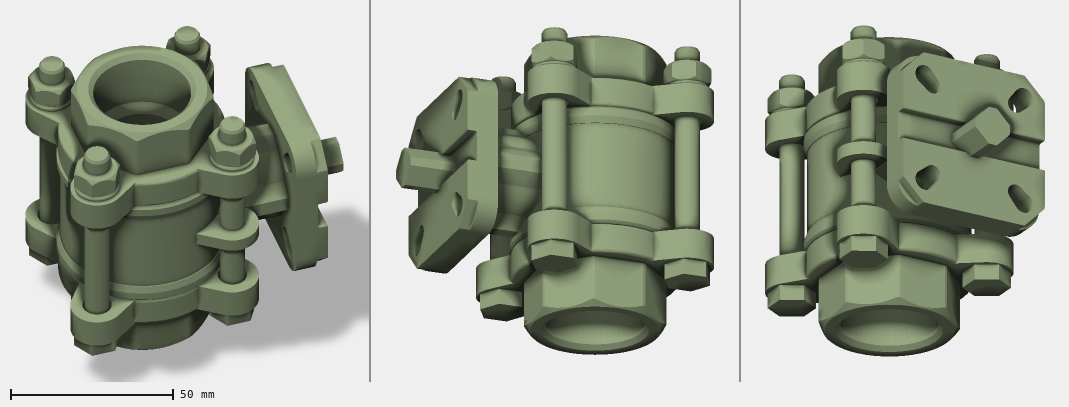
import cadquery as cq
import math

half_length = 45.0
cutter_overrun = 0.5

bore_d = 25.0
thread_d = 30.29
thread_mouth_d = 33.25
thread_depth = 18.75

octagon_flats = 41.0
octagon_round_r = 22.0
octagon_chamfer = 1.9

flange_inner_z = 19.4
flange_outer_z = 29.0
flange_r = 26.0
flange_round = 1.0
bolt_offset = 22.0
lug_r = 8.25
lug_hole_d = 9.0
lug_flare = math.radians(9.0)
lug_root_u = 16.0

barrel_r = 25.35
collar_r = 26.5
collar_edge = 0.9
collar_rim_z = 16.0
collar_root_z = 13.9
collar_root_r = 25.65
stop_tab_thickness = 4.2

rod_d = 7.75
stud_d = 8.0
stud_top_z = 43.1
stud_chamfer_z = 0.95
stud_chamfer_r = 0.55
bolt_flats = 13.0
bolt_head_height = 5.0
washer_d = 14.0
washer_thickness = 1.8
nut_height = 6.7
nut_face_r = 6.35

plate_inner_y = 41.84
plate_outer_y = 52.0
plate_half = 25.25
plate_corner_r = 8.3
corner_cut_depth = 3.5
corner_cut_reach = 18.0
neck_half = 16.9
neck_diamond_sum = 19.3
neck_r = 14.5
slot_inner_u = 21.0
slot_outer_u = 25.0
slot_inner_r = 5.5 / 2
slot_outer_r = 6.5 / 2
groove_width = 9.8
groove_depth = 3.2
groove_round = 0.5
stem_tip_y = 63.5
stem_half = 6.18
stem_diamond_sum = 7.6


def cylinder_z(radius, z0, z1):
    return cq.Workplane("XY").workplane(offset=z0).circle(radius).extrude(z1 - z0)


def prism_y(outline, y0, y1):
    """Extrude a closed (x, z) outline from y0 to y1."""
    return cq.Workplane("XZ").workplane(offset=-y0).polyline(outline).close().extrude(y0 - y1)


def revolve_z(profile):
    """Revolve a closed (r, z) profile about the Z axis."""
    return cq.Workplane("XZ").polyline(profile).close().revolve(360, (0, 0), (0, 1))


def chamfered_cylinder(radius, z0, z1, bottom, top):
    """Cylinder with 45 degree end chamfers; a size of zero leaves that end square."""
    body = cylinder_z(radius, z0, z1)
    if bottom:
        body = body.faces("<Z").chamfer(bottom)
    if top:
        body = body.faces(">Z").chamfer(top)
    return body


def lug(angle, z0, z1):
    """Round-ended lug that widens toward the valve axis."""
    centre_u = bolt_offset * math.sqrt(2)
    tangent_u = centre_u + lug_r * math.sin(lug_flare)
    tangent_v = lug_r * math.cos(lug_flare)
    root_v = tangent_v + (tangent_u - lug_root_u) * math.tan(lug_flare)
    outline = (
        cq.Workplane("XY").workplane(offset=z0)
        .moveTo(lug_root_u, -root_v)
        .lineTo(tangent_u, -tangent_v)
        .threePointArc((centre_u + lug_r, 0), (tangent_u, tangent_v))
        .lineTo(lug_root_u, root_v)
        .close()
    )
    return outline.extrude(z1 - z0).rotate((0, 0, 0), (0, 0, 1), angle)


def upper_end():
    """Flange, lugs and octagonal pipe end on the +Z side."""
    end = cylinder_z(flange_r, flange_inner_z, flange_outer_z).edges().fillet(flange_round)
    for angle in (45, 135, 225, 315):
        end = end.union(lug(angle, flange_inner_z, flange_outer_z))
    octagon_d = octagon_flats / math.cos(math.pi / 8)
    octagon = (
        cq.Workplane("XY").workplane(offset=flange_inner_z)
        .polygon(8, octagon_d).extrude(half_length - flange_inner_z)
        .rotate((0, 0, 0), (0, 0, 1), 22.5)
    )
    trim = chamfered_cylinder(octagon_round_r, flange_inner_z, half_length, 0, octagon_chamfer)
    holes = (
        cq.Workplane("XY").workplane(offset=flange_inner_z)
        .rect(2 * bolt_offset, 2 * bolt_offset, forConstruction=True).vertices()
        .circle(lug_hole_d / 2).extrude(flange_outer_z - flange_inner_z)
    )
    return end.union(octagon.intersect(trim)).cut(holes)


def centre_body():
    """Barrel with a tapered collar at each end, plus the stop tab around one rod."""
    half_profile = [
        (collar_r - collar_edge, flange_inner_z),
        (collar_r, flange_inner_z - collar_edge),
        (collar_r, collar_rim_z),
        (collar_root_r, collar_root_z),
        (barrel_r, collar_root_z),
    ]
    mirrored = [(r, -z) for r, z in reversed(half_profile)]
    body = revolve_z([(0, flange_inner_z)] + half_profile + mirrored + [(0, -flange_inner_z)])
    return body.union(lug(45, -stop_tab_thickness / 2, stop_tab_thickness / 2))


def flow_passage():
    """Through bore with a threaded counterbore and mouth chamfer at each end."""
    shoulder_z = half_length - thread_depth
    bore_r = bore_d / 2
    thread_r = thread_d / 2
    mouth_r = thread_mouth_d / 2
    upper = [
        (bore_r, shoulder_z - (thread_r - bore_r)),
        (thread_r, shoulder_z),
        (thread_r, half_length - (mouth_r - thread_r)),
        (mouth_r, half_length),
    ]
    lower = [(r, -z) for r, z in reversed(upper)]
    return revolve_z([(0, half_length)] + upper[::-1] + lower[::-1] + [(0, -half_length)])


def hexagon(z0, height, angle):
    """Hexagonal prism; angle 0 puts two corners on the X axis."""
    return (
        cq.Workplane("XY").workplane(offset=z0)
        .polygon(6, bolt_flats / math.cos(math.pi / 6)).extrude(height)
        .rotate((0, 0, 0), (0, 0, 1), angle)
    )


def round_rim_washer(z0, z1):
    """Disc whose rim is a half circle."""
    rim_r = washer_d / 2
    flat_r = rim_r - washer_thickness / 2
    profile = (
        cq.Workplane("XZ").moveTo(0, z0).lineTo(flat_r, z0)
        .threePointArc((rim_r, (z0 + z1) / 2), (flat_r, z1))
        .lineTo(0, z1).close()
    )
    return profile.revolve(360, (0, 0), (0, 1))


def bolt_set(nut_angle):
    """Bolt, washer and nut standing on the Z axis."""
    nut_z = flange_outer_z + washer_thickness
    nut_top = nut_z + nut_height
    corner_r = bolt_flats / 2 / math.cos(math.pi / 6)
    nut_chamfer = corner_r - nut_face_r
    head = hexagon(-flange_outer_z - bolt_head_height, bolt_head_height, 90)
    rod = cylinder_z(rod_d / 2, -flange_outer_z, nut_z)
    washer = round_rim_washer(flange_outer_z, nut_z)
    nut = hexagon(nut_z, nut_height, nut_angle).intersect(
        chamfered_cylinder(corner_r, nut_z, nut_top, nut_chamfer, nut_chamfer))
    stud = cylinder_z(stud_d / 2, nut_z, stud_top_z)
    stud = stud.faces(">Z").chamfer(stud_chamfer_z, stud_chamfer_r)
    return head.union(rod).union(washer).union(nut).union(stud)


def square_outline(half):
    return [(half, half), (-half, half), (-half, -half), (half, -half)]


def truncated_diamond(diamond_sum, half, y0, y1):
    """Prism along Y: the diamond |x| + |z| = diamond_sum, with its corners cut at half."""
    tip = diamond_sum - half
    outline = [
        (half, -tip), (half, tip), (tip, half), (-tip, half),
        (-half, tip), (-half, -tip), (-tip, -half), (tip, -half),
    ]
    return prism_y(outline, y0, y1)


def cylinder_y(radius, y0, y1):
    return cq.Workplane("XZ").workplane(offset=-y0).circle(radius).extrude(y0 - y1)


def mount_slot(depth):
    """Radial slot cutter that widens outward, lying along +X."""
    lean = (slot_outer_r - slot_inner_r) / (slot_outer_u - slot_inner_u)
    rise = math.sqrt(1 - lean ** 2)
    inner_u = slot_inner_u - slot_inner_r * lean
    outer_u = slot_outer_u - slot_outer_r * lean
    inner_v = slot_inner_r * rise
    outer_v = slot_outer_r * rise
    outline = (
        cq.Workplane("XZ").workplane(offset=-plate_outer_y - cutter_overrun)
        .moveTo(inner_u, inner_v)
        .lineTo(outer_u, outer_v)
        .threePointArc((slot_outer_u + slot_outer_r, 0), (outer_u, -outer_v))
        .lineTo(inner_u, -inner_v)
        .threePointArc((slot_inner_u - slot_inner_r, 0), (inner_u, inner_v))
        .close()
    )
    return outline.extrude(depth + 2 * cutter_overrun)


def mount_plate():
    """Square plate with rounded corners, corner cuts, radial slots and a cross groove."""
    thickness = plate_outer_y - plate_inner_y
    plate = prism_y(square_outline(plate_half), plate_inner_y, plate_outer_y)
    plate = plate.edges("|Y").fillet(plate_corner_r)
    shelf_y = plate_outer_y - corner_cut_depth
    uncut_part = prism_y(square_outline(plate_half), plate_inner_y, shelf_y)
    cut_part = truncated_diamond(plate_half + corner_cut_reach, plate_half, shelf_y, plate_outer_y)
    plate = plate.intersect(uncut_part.union(cut_part))

    for angle in (45, 135, 225, 315):
        plate = plate.cut(mount_slot(thickness).rotate((0, 0, 0), (0, 1, 0), angle))

    groove = (
        cq.Workplane("XY").box(2 * plate_half, groove_depth, groove_width)
        .edges("|X and <Y").fillet(groove_round)
        .translate((0, plate_outer_y - groove_depth / 2, 0))
    )
    plate = plate.cut(groove)
    for side in (-1, 1):
        lip = cq.selectors.NearestToPointSelector((0, plate_outer_y, side * groove_width / 2))
        plate = plate.edges(lip).fillet(groove_round)
    return plate


def actuator_mount():
    """Neck from the barrel to the plate, the plate itself and the drive stem."""
    neck = truncated_diamond(neck_diamond_sum, neck_half, 0, plate_inner_y)
    neck = neck.union(cylinder_y(neck_r, 0, plate_inner_y))
    stem = truncated_diamond(stem_diamond_sum, stem_half, plate_inner_y, stem_tip_y)
    return neck.union(mount_plate()).union(stem)


def build_valve():
    end = upper_end()
    valve = centre_body().union(end).union(end.mirror("XY")).union(actuator_mount())
    valve = valve.cut(flow_passage())
    for x_side in (-1, 1):
        for y_side in (-1, 1):
            nut_angle = 0 if x_side == y_side else 90
            bolt = bolt_set(nut_angle)
            valve = valve.union(bolt.translate((x_side * bolt_offset, y_side * bolt_offset, 0)))
    return valve


result = build_valve()